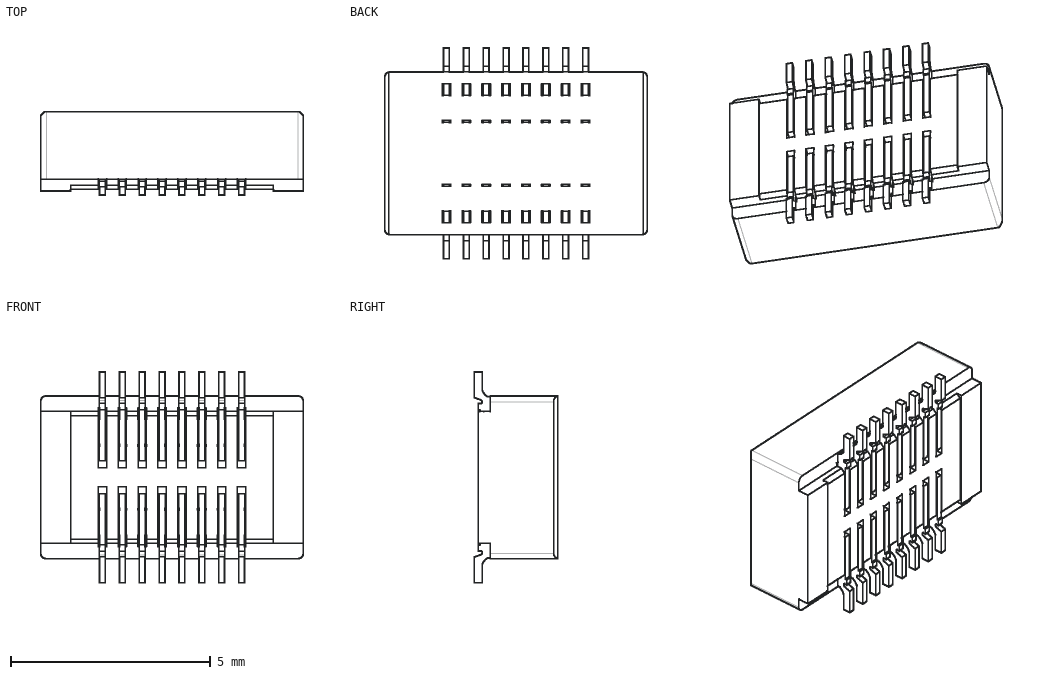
import cadquery as cq


length = 6.6
height = 4.09
depth = 2.0
corner_radius = 0.145
end_chamfer = 0.105
step_height = 0.39
step_depth = 0.305
step_z = height / 2 - step_height

recess_length = 5.095
recess_depth = 0.045
recess_chamfer = 0.105

pins_per_row = 8
row_length = 3.49
pitch = row_length / (pins_per_row - 1)
slot_width = 0.205
slot_inner_z = 0.24
slot_outer_z = 1.74
slot_depth = step_depth
outer_window_z = 1.45
inner_window_z = 0.78
inner_window_height = 0.045

pin_width = 0.15
tip_to_tip = 5.3
pin_tip_z = tip_to_tip / 2
pin_inner_z = 0.415
foot_front_y = -0.1
foot_back_y = 0.105
neck_start_z = 2.19
neck_mid_y = 0.16
neck_mid_z = 2.09
shank_top_y = 0.245
shank_top_z = 2.025
heel_z = 2.0
notch_top_y = 0.065
notch_top_z = 1.94
notch_bottom_y = 0.085
notch_bottom_z = 1.855
shoulder_z = 1.695


def box(x_size, y_start, y_end, z_start, z_end):
    """Box centred on X = 0 between the given Y and Z limits."""
    y_size = y_end - y_start
    z_size = z_end - z_start
    return cq.Workplane("XY").box(x_size, y_size, z_size, centered=(True, False, False)).translate(
        (0, y_start, z_start)
    )


def both_rows(upper):
    """The upper shape together with its mirror image below Z = 0."""
    return upper.union(upper.mirror("XY"))


def pin_row(shape):
    """Copies of the shape along X, one for each pin position."""
    row = cq.Workplane("XY")
    for index in range(pins_per_row):
        row = row.add(shape.translate((index * pitch - row_length / 2, 0, 0)))
    return row.combine()


def make_block():
    """Housing block with rounded long edges and chamfered back ends."""
    block = box(length, 0, depth, -height / 2, height / 2).edges("|Y").fillet(corner_radius)
    half = length / 2
    for side in (-1, 1):
        corner = (
            cq.Workplane("XY")
            .moveTo(side * half, depth)
            .lineTo(side * (half - end_chamfer), depth)
            .lineTo(side * half, depth - end_chamfer)
            .close()
            .extrude(height / 2, both=True)
        )
        block = block.cut(corner)
    return block


def make_recess():
    """Front recess, with its top and bottom edges falling away at a slant."""
    slant_y = recess_depth + recess_chamfer
    slant_z = step_z - recess_chamfer
    return (
        cq.Workplane("YZ")
        .moveTo(0, -step_z)
        .lineTo(slant_y, -step_z)
        .lineTo(recess_depth, -slant_z)
        .lineTo(recess_depth, slant_z)
        .lineTo(slant_y, step_z)
        .lineTo(0, step_z)
        .close()
        .extrude(recess_length / 2, both=True)
    )


def make_slot():
    """Blind slot for one pin, with two windows running through to the back."""
    slot = box(slot_width, 0, slot_depth, slot_inner_z, slot_outer_z)
    outer_window = box(slot_width, 0, depth, outer_window_z, slot_outer_z)
    inner_window = box(slot_width, 0, depth, inner_window_z, inner_window_z + inner_window_height)
    return slot.union(outer_window).union(inner_window)


def make_pin():
    """One upper pin: foot, curved neck, notch, and a bar seated on the slot floor."""
    return (
        cq.Workplane("YZ")
        .moveTo(foot_front_y, pin_tip_z)
        .lineTo(foot_front_y, heel_z)
        .lineTo(notch_top_y, notch_top_z)
        .tangentArcPoint((notch_bottom_y, notch_bottom_z), relative=False)
        .lineTo(0, notch_bottom_z)
        .lineTo(0, shoulder_z)
        .lineTo(recess_depth, shoulder_z)
        .lineTo(recess_depth, pin_inner_z)
        .lineTo(slot_depth, pin_inner_z)
        .lineTo(slot_depth, shank_top_z)
        .lineTo(shank_top_y, shank_top_z)
        .threePointArc((neck_mid_y, neck_mid_z), (foot_back_y, neck_start_z))
        .lineTo(foot_back_y, pin_tip_z)
        .close()
        .extrude(pin_width / 2, both=True)
    )


step = box(length, 0, step_depth, step_z, height / 2)
housing = make_block().cut(both_rows(step)).cut(make_recess())
housing = housing.cut(both_rows(pin_row(make_slot())))
result = housing.union(both_rows(pin_row(make_pin())))